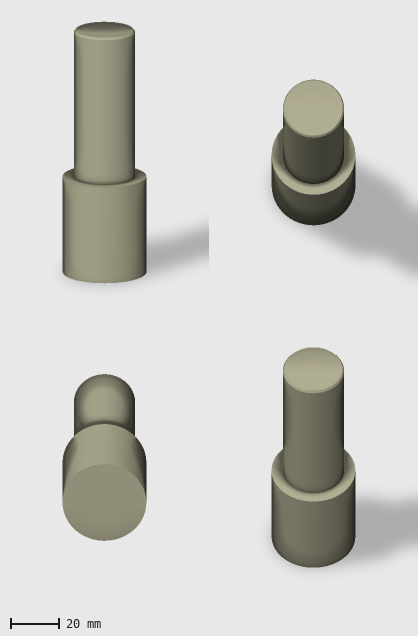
import cadquery as cq

total_length = 104.8
rod_diameter = 25.5
chamfer_height = 0.9
chamfer_inset = 0.6
sleeve_diameter = 34.9
sleeve_length = 41.4


def make_rod():
    """Round rod over the full length, with a steep chamfer at its free top end."""
    rod_radius = rod_diameter / 2
    half_profile = (
        cq.Workplane("XZ")
        .lineTo(rod_radius, 0)
        .lineTo(rod_radius, total_length - chamfer_height)
        .lineTo(rod_radius - chamfer_inset, total_length)
        .lineTo(0, total_length)
        .close()
    )
    return half_profile.revolve(360, (0, 0), (0, 1))


def make_sleeve():
    """Plain ring around the lower end of the rod, flush with it at the bottom."""
    return (
        cq.Workplane("XY")
        .circle(sleeve_diameter / 2)
        .circle(rod_diameter / 2)
        .extrude(sleeve_length)
    )


rod = make_rod()
sleeve = make_sleeve()

result = cq.Compound.makeCompound([rod.val(), sleeve.val()])